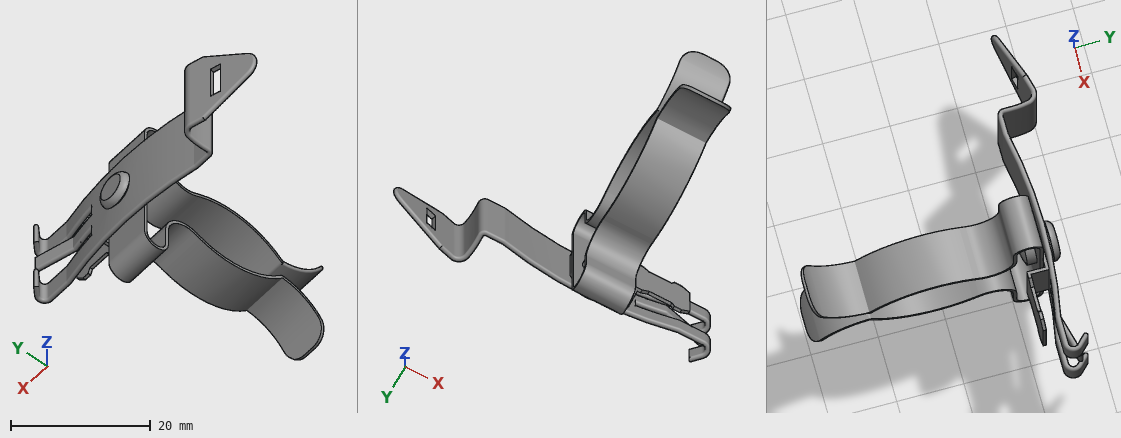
import cadquery as cq
import math


strip_thickness = 0.75
strip_width = 13.75
strip_edge_round = 0.35
strip_gap = 0.25
strip_kink_radius = 0.4
bow_centre_x = -0.95
bow_radius = 71.2
bow_half_angle = 11.5
bow_foot = 2.75
heel_radius = 0.65
riser_straight = 1.1
riser_radius = 13.15
riser_lean = 11.5
crest_radius = 1.45
tail_slope = 15.0
tail_length = 11.35
tail_tip_radius = 2.8
tail_taper_angle = 30.0
slot_width = 1.7
slot_height = 5.95
slot_from_tip = 6.05
hook_flat = 4.05
hook_radius = 1.085
hook_angle = 135.0
hook_tip = 2.0
fork_start = 6.55
fork_gap = 6.05

tine_width = 2.95
tine_bow_angle = 9.9
tine_slope = 14.5
tine_length = 6.9

clip_thickness = 0.5
clip_width = 8.0
clip_height = 26.0
loop_radius = 1.95
loop_leg = 3.05
throat_radius = 3.8
throat_turn = 22.8
throat_straight = 1.0
jaw_radius = 14.05
jaw_turn = 67.3
pinch_radius = 0.28
pinch_turn = 49.0
lead_radius = 9.6
lead_turn = 67.5
lead_corner_radius = 3.05
lead_edge_round = 0.3

bracket_thickness = 0.5
bracket_height = 9.9
bracket_corner = 0.9
bracket_leg_x = 5.5
label_front = 2.75
label_end = 13.8

shank_diameter = 4.6
rivet_head_diameter = 5.05
rivet_head_side = 1.45
rivet_dome = 0.6
closing_head_diameter = 6.0
closing_flat_diameter = 4.35
closing_head_start = 1.95
closing_head_height = 1.05
closing_bulge = 2.8


def bent_sheet(plane, start, heading, moves, thickness, width):
    """Sheet following a centre line of ("line", length) and ("arc", radius, left turn) moves.

    Returns the sheet, the end point of its centre line and the heading there.
    """
    half = thickness / 2
    x, y = start
    angle = math.radians(heading)

    def side(offset, at_x, at_y, at_angle):
        return (at_x - offset * math.sin(at_angle), at_y + offset * math.cos(at_angle))

    corners = [(side(half, x, y, angle), side(-half, x, y, angle))]
    middles = []
    for move in moves:
        if move[0] == "line":
            x += move[1] * math.cos(angle)
            y += move[1] * math.sin(angle)
            middles.append(None)
        else:
            turn = math.radians(move[2])
            signed_radius = math.copysign(move[1], turn)
            centre = side(signed_radius, x, y, angle)
            mid_angle = angle + turn / 2
            angle += turn
            mid_x, mid_y = side(-signed_radius, *centre, mid_angle)
            x, y = side(-signed_radius, *centre, angle)
            middles.append((side(half, mid_x, mid_y, mid_angle), side(-half, mid_x, mid_y, mid_angle)))
        corners.append((side(half, x, y, angle), side(-half, x, y, angle)))

    outline = cq.Workplane(plane).moveTo(*corners[0][0])
    for middle, corner in zip(middles, corners[1:]):
        outline = outline.lineTo(*corner[0]) if middle is None else outline.threePointArc(middle[0], corner[0])
    outline = outline.lineTo(*corners[-1][1])
    for middle, corner in zip(reversed(middles), reversed(corners[:-1])):
        outline = outline.lineTo(*corner[1]) if middle is None else outline.threePointArc(middle[1], corner[1])
    sheet = outline.close().extrude(width / 2, both=True)
    return sheet, (x, y), math.degrees(angle)


def round_edges(sheet, ends):
    """Round the edges running along the sheet and those across its width at the given end points."""
    rounded = [
        edge
        for edge in sheet.edges("not |Z").vals()
        if edge.geomType() != "LINE" or edge.Length() > 1.2 * strip_thickness
    ]
    for end in ends:
        rounded += sheet.faces(cq.selectors.NearestToPointSelector(end)).edges("|Z").vals()
    return sheet.newObject(rounded).fillet(strip_edge_round)


def shank_hole():
    return cq.Workplane("XZ").circle(shank_diameter / 2).extrude(10.1, both=True)


def make_strip():
    bow_top = (bow_centre_x, bracket_thickness + strip_gap + strip_thickness / 2)
    hook_moves = [
        ("arc", bow_radius, -bow_half_angle),
        ("arc", strip_kink_radius, bow_half_angle),
        ("line", hook_flat),
        ("arc", hook_radius, hook_angle),
        ("line", hook_tip),
    ]
    tail_moves = [
        ("arc", bow_radius, bow_half_angle),
        ("arc", strip_kink_radius, -bow_half_angle),
        ("line", bow_foot),
        ("arc", heel_radius, -90),
        ("line", riser_straight),
        ("arc", riser_radius, riser_lean),
        ("arc", crest_radius, 90 - riser_lean + tail_slope),
        ("line", tail_length),
    ]
    tine_moves = [
        ("arc", bow_radius, -tine_bow_angle),
        ("arc", strip_kink_radius, tine_bow_angle + tine_slope),
        ("line", tine_length),
    ]
    hook_half, hook_end, _ = bent_sheet("XY", bow_top, 0, hook_moves, strip_thickness, strip_width)
    tail_half, tail_tip, _ = bent_sheet("XY", bow_top, 180, tail_moves, strip_thickness, strip_width)
    tine, tine_end, _ = bent_sheet("XY", bow_top, 0, tine_moves, strip_thickness, tine_width)
    strip = hook_half.union(tail_half, clean=True)

    tail_angle = math.radians(tail_slope)
    tail_direction = (math.cos(tail_angle), math.sin(tail_angle), 0)
    tail_normal = (math.sin(tail_angle), -math.cos(tail_angle), 0)
    tail_plane = cq.Plane(origin=(*tail_tip, 0), xDir=tail_direction, normal=tail_normal)

    taper = math.radians(tail_taper_angle)
    tangent_x = tail_tip_radius * (1 - math.sin(taper))
    tangent_y = tail_tip_radius * math.cos(taper)
    half = strip_width / 2
    taper_end = tangent_x + (half - tangent_y) / math.tan(taper)
    pointed = (
        cq.Workplane(tail_plane)
        .moveTo(taper_end, half)
        .lineTo(tangent_x, tangent_y)
        .threePointArc((0, 0), (tangent_x, -tangent_y))
        .lineTo(taper_end, -half)
    )
    waste = (
        pointed.lineTo(-2.55, -half).lineTo(-2.55, half).close().extrude(strip_thickness, both=True)
    )
    strip = strip.cut(waste)

    fork = cq.Workplane("XY").box(30.3, 20.2, fork_gap, centered=(False, True, True)).translate((fork_start, 0, 0))
    fork_middle = (fork_gap + strip_width) / 4
    strip = round_edges(strip.cut(fork), [(*hook_end, fork_middle), (*hook_end, -fork_middle)])

    slot = (
        cq.Workplane(tail_plane)
        .center(slot_from_tip + slot_width / 2, 0)
        .rect(slot_width, slot_height)
        .extrude(strip_thickness, both=True)
    )
    return strip.cut(slot).union(round_edges(tine, [(*tine_end, 0)])).cut(shank_hole())


def make_clip_arm(rounded_mouth):
    """Upper arm from the middle of the back to the lead-in, optionally with its mouth edges rounded."""
    spring_moves = [
        ("line", clip_height / 2 - loop_radius - clip_thickness / 2),
        ("arc", loop_radius, 180),
        ("line", loop_leg),
        ("arc", throat_radius, -90 - throat_turn),
        ("line", throat_straight),
        ("arc", jaw_radius, jaw_turn),
        ("arc", pinch_radius, -pinch_turn),
    ]
    lead_moves = [("arc", lead_radius, -lead_turn)]
    back_middle = (-clip_thickness / 2, 0)
    spring, pinch, pinch_heading = bent_sheet("YZ", back_middle, 90, spring_moves, clip_thickness, clip_width)
    lead, lead_end, _ = bent_sheet("YZ", pinch, pinch_heading, lead_moves, clip_thickness, clip_width)

    end_face = lead.faces(cq.selectors.NearestToPointSelector((0, *lead_end)))
    lead = lead.newObject(end_face.edges("not |X").vals()).fillet(lead_corner_radius)
    if rounded_mouth:
        mouth_face = max(lead.faces("%CYLINDER").vals(), key=lambda face: face.Area())
        pinch_edge = cq.Workplane(mouth_face).edges("|X").edges(
            cq.selectors.NearestToPointSelector((0, *pinch))
        ).val()
        rim = [edge for edge in mouth_face.Edges() if not edge.isSame(pinch_edge)]
        lead = lead.newObject(rim).fillet(lead_edge_round)
    return spring.union(lead)


def make_clip():
    upper_arm = make_clip_arm(rounded_mouth=True)
    lower_arm = make_clip_arm(rounded_mouth=False).mirror("XY")
    return upper_arm.union(lower_arm).cut(shank_hole())


def make_bracket(strip):
    back = (
        cq.Workplane("XY")
        .box(clip_width / 2 + bracket_leg_x, bracket_thickness, bracket_height, centered=(False, False, True))
        .translate((-clip_width / 2, 0, 0))
        .edges("|Y and <X")
        .fillet(bracket_corner)
    )
    leg = (
        cq.Workplane("XY")
        .box(bracket_thickness, label_front + bracket_thickness, bracket_height, centered=(False, False, True))
        .translate((bracket_leg_x - bracket_thickness, -label_front, 0))
    )
    half = bracket_height / 2
    upper_edge = [(6.0, half), (7.15, 4.05), (10.85, 4.05), (11.25, half), (12.45, half), (label_end, 3.75)]
    lower_edge = [(x, -z) for x, z in reversed(upper_edge)]
    leg_x = bracket_leg_x - bracket_thickness
    label = (
        cq.Workplane("XZ", origin=(0, -label_front, 0))
        .polyline([(leg_x, -half), (leg_x, half)] + upper_edge + lower_edge)
        .close()
        .extrude(-bracket_thickness)
    )
    return back.union(leg).union(label).cut(shank_hole()).cut(strip)


def make_rivet():
    head_base = -clip_thickness
    dome_base = head_base - rivet_head_side
    head_radius = rivet_head_diameter / 2
    dome_radius = (head_radius**2 + rivet_dome**2) / (2 * rivet_dome)
    quarter = head_radius / 2
    dome_mid = dome_base - rivet_dome + dome_radius - math.sqrt(dome_radius**2 - quarter**2)
    closing_end = closing_head_start + closing_head_height
    profile = (
        cq.Workplane("XY")
        .moveTo(0, dome_base - rivet_dome)
        .threePointArc((quarter, dome_mid), (head_radius, dome_base))
        .lineTo(head_radius, head_base)
        .lineTo(shank_diameter / 2, head_base)
        .lineTo(shank_diameter / 2, closing_head_start)
        .lineTo(closing_head_diameter / 2, closing_head_start)
        .threePointArc(
            (closing_bulge, closing_head_start + closing_head_height * 0.6), (closing_flat_diameter / 2, closing_end)
        )
        .lineTo(0, closing_end)
        .close()
    )
    return profile.revolve(360, (0, 0, 0), (0, 1, 0))


strip = make_strip()
clip = make_clip()
bracket = make_bracket(strip)
rivet = make_rivet()

result = cq.Compound.makeCompound([strip.val(), clip.val(), bracket.val(), rivet.val()])